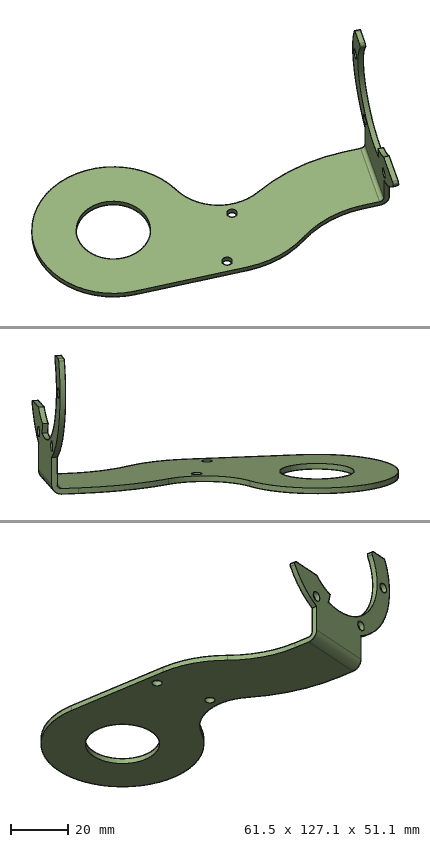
import cadquery as cq
import math

OVERALL_LENGTH = 127.1
TURN_ANGLE = -5
THICKNESS = 2.0
BEND_INNER_RADIUS = 1.5
BEND_OUTER_RADIUS = BEND_INNER_RADIUS + THICKNESS
SCREW_HOLE_DIAMETER = 3.5

RING_RADIUS = 28.5
HOOK_RADIUS = RING_RADIUS
RING_HOLE_RADIUS = 13.0
ARM_HALF_WIDTH = 12.5
TURN = math.radians(-TURN_ANGLE)
FLANGE_BACK_Y = (OVERALL_LENGTH - RING_RADIUS - HOOK_RADIUS * math.sin(TURN)) / math.cos(TURN)
BEND_START_Y = FLANGE_BACK_Y - BEND_OUTER_RADIUS
CURVE_START_Y = 86.9
LEFT_ARC_RADIUS = 65.1
NECK_RADIUS = 19.0
RIGHT_ARC_RADIUS = 38.3
SHOULDER_RADIUS = 36.3
ARM_HOLES = [(3.7, 42.0), (24.0, 34.6)]

HOOK_INNER_RADIUS = 21.5
HOOK_PAD_RADIUS = 17.8
HOOK_HOLE_RADIUS = 24.9
HOOK_HOLE_ANGLES = (180, 240, 300)
HOOK_CENTER_Z = 38.9
HOOK_TOP_Z = 51.1
HOOK_PAD_TOP_Z = 26.0
PAD_STEP_ANGLE = -74.5
TIP_FILLET = 1.0


def polar(radius, degrees):
    angle = math.radians(degrees)
    return radius * math.cos(angle), radius * math.sin(angle)


def point_toward(start, end, distance):
    """Point at the given distance from start on the line to end."""
    ratio = distance / math.dist(start, end)
    return start[0] + ratio * (end[0] - start[0]), start[1] + ratio * (end[1] - start[1])


def arc_middle(center, start, end):
    """Middle of the shorter arc from start to end about center."""
    chord_middle = ((start[0] + end[0]) / 2, (start[1] + end[1]) / 2)
    return point_toward(center, chord_middle, math.dist(center, start))


def neck_center(left_center):
    """Center of the neck arc, which touches both the ring and the left arm arc."""
    from_ring = RING_RADIUS + NECK_RADIUS
    from_left = LEFT_ARC_RADIUS + NECK_RADIUS
    spacing = math.hypot(*left_center)
    along = (from_ring**2 - from_left**2 + spacing**2) / (2 * spacing)
    aside = math.sqrt(from_ring**2 - along**2)
    unit_x, unit_y = left_center[0] / spacing, left_center[1] / spacing
    return along * unit_x - aside * unit_y, along * unit_y + aside * unit_x


def make_plate():
    left = (LEFT_ARC_RADIUS - ARM_HALF_WIDTH, CURVE_START_Y)
    neck = neck_center(left)
    right = (ARM_HALF_WIDTH + RIGHT_ARC_RADIUS, CURVE_START_Y)
    shoulder_x = RING_RADIUS - SHOULDER_RADIUS
    drop = math.sqrt((RIGHT_ARC_RADIUS + SHOULDER_RADIUS) ** 2 - (right[0] - shoulder_x) ** 2)
    shoulder = (shoulder_x, CURVE_START_Y - drop)

    left_start = (-ARM_HALF_WIDTH, CURVE_START_Y)
    left_end = point_toward(left, neck, LEFT_ARC_RADIUS)
    neck_end = point_toward(neck, (0, 0), NECK_RADIUS)
    shoulder_start = (RING_RADIUS, shoulder[1])
    shoulder_end = point_toward(shoulder, right, SHOULDER_RADIUS)
    right_end = (ARM_HALF_WIDTH, CURVE_START_Y)
    plate = (
        cq.Workplane("XY")
        .moveTo(-ARM_HALF_WIDTH, BEND_START_Y)
        .lineTo(*left_start)
        .threePointArc(arc_middle(left, left_start, left_end), left_end)
        .threePointArc(arc_middle(neck, left_end, neck_end), neck_end)
        .threePointArc((0, -RING_RADIUS), (RING_RADIUS, 0))
        .lineTo(*shoulder_start)
        .threePointArc(arc_middle(shoulder, shoulder_start, shoulder_end), shoulder_end)
        .threePointArc(arc_middle(right, shoulder_end, right_end), right_end)
        .lineTo(ARM_HALF_WIDTH, BEND_START_Y)
        .close()
        .extrude(THICKNESS)
    )
    ring_hole = cq.Workplane("XY").circle(RING_HOLE_RADIUS).extrude(THICKNESS)
    arm_holes = cq.Workplane("XY").pushPoints(ARM_HOLES).circle(SCREW_HOLE_DIAMETER / 2).extrude(THICKNESS)
    return plate.cut(ring_hole).cut(arm_holes)


def make_bend():
    diagonal = math.sqrt(0.5)

    def bend_middle(radius):
        return BEND_START_Y + radius * diagonal, BEND_OUTER_RADIUS - radius * diagonal

    return (
        cq.Workplane("YZ")
        .moveTo(BEND_START_Y, 0)
        .threePointArc(bend_middle(BEND_OUTER_RADIUS), (FLANGE_BACK_Y, BEND_OUTER_RADIUS))
        .lineTo(FLANGE_BACK_Y - THICKNESS, BEND_OUTER_RADIUS)
        .threePointArc(bend_middle(BEND_INNER_RADIUS), (BEND_START_Y, THICKNESS))
        .close()
        .extrude(ARM_HALF_WIDTH, both=True)
    )


def make_flange():
    hook_top = HOOK_TOP_Z - HOOK_CENTER_Z
    pad_top = HOOK_PAD_TOP_Z - HOOK_CENTER_Z
    pad_end_angle = math.degrees(math.asin(pad_top / HOOK_PAD_RADIUS))
    pad_middle_angle = (pad_end_angle + PAD_STEP_ANGLE) / 2
    tab_bottom = BEND_OUTER_RADIUS - HOOK_CENTER_Z

    def x_on_circle(radius, height):
        return math.sqrt(radius**2 - height**2)

    plane = cq.Workplane("XZ", origin=(0, FLANGE_BACK_Y, HOOK_CENTER_Z))
    hook = (
        plane.moveTo(-x_on_circle(HOOK_RADIUS, hook_top), hook_top)
        .threePointArc((0, -HOOK_RADIUS), (x_on_circle(HOOK_RADIUS, pad_top), pad_top))
        .lineTo(x_on_circle(HOOK_PAD_RADIUS, pad_top), pad_top)
        .threePointArc(polar(HOOK_PAD_RADIUS, pad_middle_angle), polar(HOOK_PAD_RADIUS, PAD_STEP_ANGLE))
        .lineTo(*polar(HOOK_INNER_RADIUS, PAD_STEP_ANGLE))
        .threePointArc((-HOOK_INNER_RADIUS, 0), (-x_on_circle(HOOK_INNER_RADIUS, hook_top), hook_top))
        .close()
        .extrude(THICKNESS)
    )
    hook = hook.edges("|Y").edges(">Z or >X").fillet(TIP_FILLET)

    tab_top = -x_on_circle(HOOK_HOLE_RADIUS, ARM_HALF_WIDTH)
    tab = (
        plane.moveTo(-ARM_HALF_WIDTH, tab_bottom)
        .lineTo(ARM_HALF_WIDTH, tab_bottom)
        .lineTo(ARM_HALF_WIDTH, tab_top)
        .lineTo(-ARM_HALF_WIDTH, tab_top)
        .close()
        .extrude(THICKNESS)
    )
    hole_points = [polar(HOOK_HOLE_RADIUS, angle) for angle in HOOK_HOLE_ANGLES]
    holes = plane.pushPoints(hole_points).circle(SCREW_HOLE_DIAMETER / 2).extrude(THICKNESS)
    return hook.union(tab).cut(holes)


bracket = make_plate().union(make_bend()).union(make_flange())
result = bracket.rotate((0, 0, 0), (0, 0, 1), TURN_ANGLE)